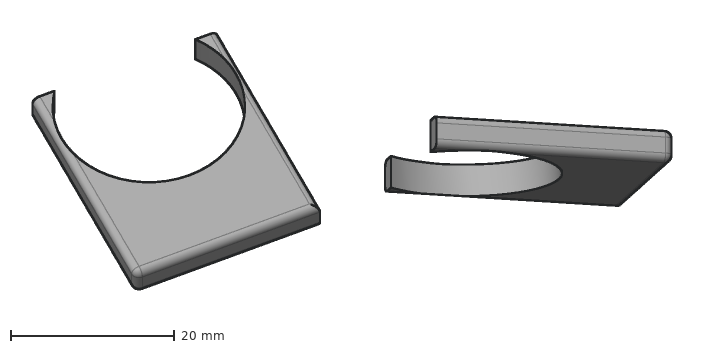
import cadquery as cq

length = 30.0
width = 25.0
thickness = 4.0
edge_radius = 1.0

opening_radius = 11.8
opening_center_x = 7.0

plate = cq.Workplane("XY").box(length, width, thickness, centered=(False, True, False))

side_edges = plate.edges("|X")
end_edges = plate.faces(">X").edges("|Y")
upright_corner = plate.faces(">X").edges("|Z").edges("<Y")
plate = side_edges.add(end_edges).add(upright_corner).fillet(edge_radius)

opening = (
    cq.Workplane("XY")
    .center(opening_center_x, 0)
    .circle(opening_radius)
    .extrude(thickness)
)
result = plate.cut(opening)